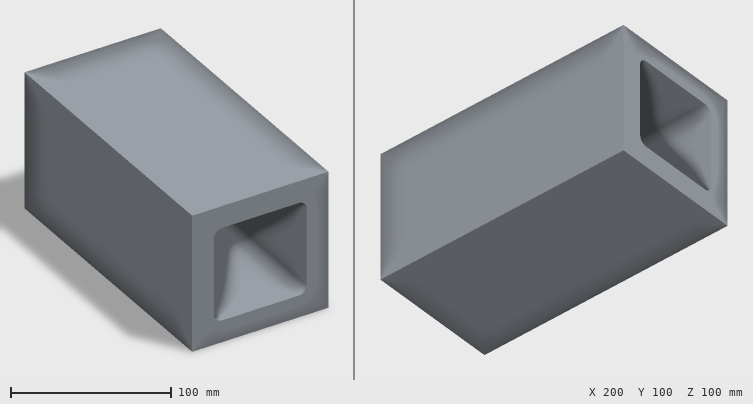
import cadquery as cq

length = 200.0
side = 100.0
wall = 16.0
bore_corner_radius = 6.0

bore_side = side - 2 * wall

body = cq.Workplane("XY").box(length, side, side)

bore = cq.Workplane("XY").box(length, bore_side, bore_side).edges("|X").fillet(bore_corner_radius)

result = body.cut(bore)